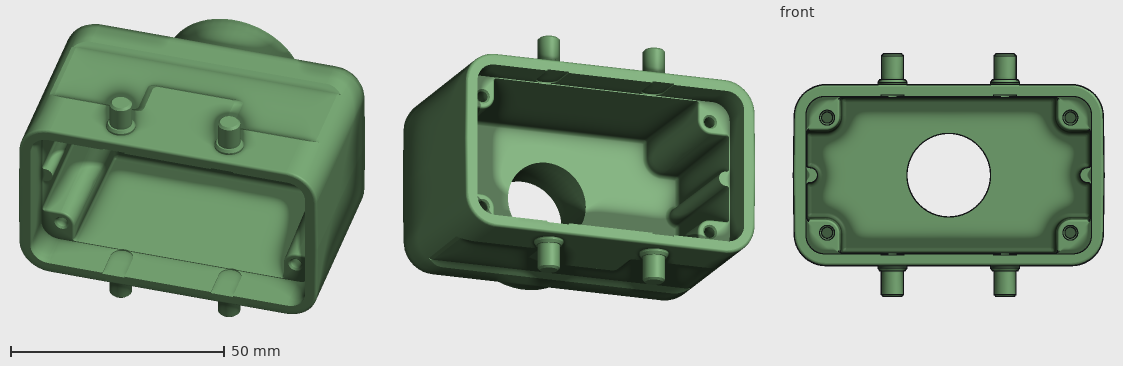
import cadquery as cq
import math

HOOD_LENGTH = 73.0
HOOD_EDGE_LENGTH = 72.4
MOUTH_HEIGHT = 42.55
REAR_HEIGHT = 42.2
HOOD_DEPTH = 45.0
CORNER_RADIUS = 7.5
REAR_RADIUS = 4.6
MOUTH_RADIUS = 0.65

ENTRY_RADIUS = 17.0
ENTRY_END_Y = 58.0
ENTRY_CHAMFER = 0.9
ENTRY_BASE_FILLET = 1.0
JOINT_TOLERANCE = 0.01
BORE_RADIUS = 9.8

CAVITY_LENGTH = 67.0
CAVITY_HEIGHT = 36.95
CAVITY_RADIUS = 4.4
CAVITY_STEP = 0.2
CAVITY_DRAFT = 0.4
BACK_WALL = 3.0
FLOOR_FILLET = 1.0
CAVITY_CORNER_FILLET = 0.6
INSERT_Y = 9.4

BOSS_X = 28.8
BOSS_Z = 13.8
BOSS_RADIUS = 3.3
BOSS_DRAFT = 1.1
BOSS_EDGE_FILLET = 0.5
SCREW_X = 28.55
SCREW_Z = 13.5
SCREW_HOLE_RADIUS = 1.3
SCREW_HOLE_MOUTH_RADIUS = 1.75
SCREW_HOLE_DEPTH = 10.95
RIB_RADIUS = 1.75
RIB_X = 32.55
RIB_DRAFT = 0.3

PIN_X = 13.2
PIN_Y = 6.2
PIN_RADIUS = 2.6
PIN_SPAN = 57.0
PIN_TIP_Z = PIN_SPAN / 2
PIN_CHAMFER = 0.5
COLLAR_RADIUS = 3.4
COLLAR_TOP_RADIUS = 3.0
COLLAR_STRAIGHT = 0.5
COLLAR_HEIGHT = 1.2
PIN_SLOT_RADIUS = 2.7
PIN_SLOT_LENGTH = 9.6
PIN_SLOT_DEPTH = 0.3

RECESS_Z = 20.1
RECESS_FRONT_Y = 14.75
RECESS_REAR_Y = 33.4
RECESS_SLOPE_RUN = 1.7
RECESS_SLOPE_RISE = 1.1
RECESS_CORNER_RADIUS = 2.5
NOTCH_HALF_WIDTH = 11.6
NOTCH_REAR_Y = 24.75
RECESS_FLOOR_HALF_LENGTH = 31.9
RECESS_BEVEL_DROP = 0.2
RECESS_BEVEL_RUN = 1.2

OVERLAP = 0.7
FLOOR_Y = HOOD_DEPTH - BACK_WALL
SIDES = (-1, 1)


def plane_at(y):
    """Plane across the hood at depth y, its normal pointing to +Y and its local y axis to -Z."""
    return cq.Workplane(cq.Plane(origin=(0, y, 0), xDir=(1, 0, 0), normal=(0, 1, 0)))


def both_faces(shape):
    """The shape on the top face together with its copy turned half a turn onto the bottom face."""
    return shape.union(shape.rotate((0, 0, 0), (0, 1, 0), 180))


def make_hood():
    """Outer block with sides sloping away from the parting plane and slightly lower at the rear."""
    half = MOUTH_HEIGHT / 2
    section = [
        (HOOD_LENGTH / 2, 0),
        (HOOD_EDGE_LENGTH / 2, half),
        (-HOOD_EDGE_LENGTH / 2, half),
        (-HOOD_LENGTH / 2, 0),
        (-HOOD_EDGE_LENGTH / 2, -half),
        (HOOD_EDGE_LENGTH / 2, -half),
    ]
    side = [
        (0, half),
        (HOOD_DEPTH, REAR_HEIGHT / 2),
        (HOOD_DEPTH, -REAR_HEIGHT / 2),
        (0, -half),
    ]
    block = plane_at(0).polyline(section).close().extrude(HOOD_DEPTH)
    wedge = cq.Workplane("YZ").polyline(side).close().extrude(HOOD_LENGTH, both=True)
    hood = block.intersect(wedge)
    for x_side in SIDES:
        for z_side in SIDES:
            middle = (x_side * HOOD_EDGE_LENGTH / 2, HOOD_DEPTH / 2, z_side * half)
            long_edge = cq.selectors.NearestToPointSelector(middle)
            hood = hood.edges(long_edge).fillet(CORNER_RADIUS)
    hood = hood.faces(">Y").edges().fillet(REAR_RADIUS)
    return hood.faces("<Y").edges().fillet(MOUTH_RADIUS)


def make_entry():
    """Round cable entry, rooted in the back wall so that it joins the rounded rear edges."""
    entry = plane_at(FLOOR_Y).circle(ENTRY_RADIUS).extrude(ENTRY_END_Y - FLOOR_Y)
    return entry.faces(">Y").chamfer(ENTRY_CHAMFER)


def is_entry_joint(edge):
    """True for the edges where the round entry meets the rear of the hood."""
    if not FLOOR_Y < edge.Center().y < HOOD_DEPTH + OVERLAP:
        return False
    points = [edge.positionAt(t) for t in (0, 0.3, 0.6)]
    return all(abs(math.hypot(p.x, p.z) - ENTRY_RADIUS) < JOINT_TOLERANCE for p in points)


def make_boss(x_side, z_side):
    """Corner boss, rounded toward the middle and widening toward the cavity floor."""
    inner_x = BOSS_X - BOSS_RADIUS
    inner_z = BOSS_Z - BOSS_RADIUS
    reach_x = HOOD_LENGTH / 2
    reach_z = MOUTH_HEIGHT / 2
    bulge = BOSS_RADIUS * math.sqrt(0.5)
    outline = (
        plane_at(INSERT_Y)
        .moveTo(reach_x, inner_z)
        .lineTo(BOSS_X, inner_z)
        .threePointArc((BOSS_X - bulge, BOSS_Z - bulge), (inner_x, BOSS_Z))
        .lineTo(inner_x, reach_z)
        .lineTo(reach_x, reach_z)
        .close()
    )
    boss = outline.extrude(HOOD_DEPTH - INSERT_Y, taper=-BOSS_DRAFT)
    boss = boss.faces("<Y").edges().fillet(BOSS_EDGE_FILLET)
    if x_side < 0:
        boss = boss.mirror("YZ")
    if z_side < 0:
        boss = boss.mirror("XY")
    return boss


def make_cavity():
    """Hollow of the hood, with the corner bosses and end ribs left standing."""
    mouth = (
        plane_at(0)
        .rect(CAVITY_LENGTH, CAVITY_HEIGHT)
        .extrude(INSERT_Y)
        .edges("|Y")
        .fillet(CAVITY_RADIUS)
    )
    inner = (
        plane_at(INSERT_Y)
        .rect(CAVITY_LENGTH - 2 * CAVITY_STEP, CAVITY_HEIGHT - 2 * CAVITY_STEP)
        .extrude(FLOOR_Y - INSERT_Y, taper=CAVITY_DRAFT)
    )
    for x_side in SIDES:
        rib = plane_at(INSERT_Y).center(x_side * RIB_X, 0).circle(RIB_RADIUS)
        inner = inner.cut(rib.extrude(HOOD_DEPTH, taper=-RIB_DRAFT))
        for z_side in SIDES:
            inner = inner.cut(make_boss(x_side, z_side))
    wall_x = CAVITY_LENGTH / 2
    wall_z = CAVITY_HEIGHT / 2
    corners = [(x * wall_x, z * (BOSS_Z - BOSS_RADIUS)) for x in SIDES for z in SIDES]
    corners += [(x * (BOSS_X - BOSS_RADIUS), z * wall_z) for x in SIDES for z in SIDES]
    corners += [(x * wall_x, z * RIB_RADIUS) for x in SIDES for z in SIDES]
    middle_y = (INSERT_Y + FLOOR_Y) / 2
    for x, z in corners:
        nearest = cq.selectors.NearestToPointSelector((x, middle_y, z))
        inner = inner.edges(nearest).fillet(CAVITY_CORNER_FILLET)
    inner = inner.faces(">Y").edges().fillet(FLOOR_FILLET)
    return mouth.union(inner)


def make_screw_holes():
    """Blind holes in the boss fronts, each with a chamfered mouth."""
    centres = [(x * SCREW_X, z * SCREW_Z) for x in SIDES for z in SIDES]
    seat = plane_at(INSERT_Y).pushPoints(centres)
    holes = seat.circle(SCREW_HOLE_RADIUS).extrude(SCREW_HOLE_DEPTH)
    widening = SCREW_HOLE_MOUTH_RADIUS - SCREW_HOLE_RADIUS
    for x, z in centres:
        cone = plane_at(INSERT_Y).center(x, z).circle(SCREW_HOLE_MOUTH_RADIUS)
        holes = holes.union(cone.extrude(widening, taper=45))
    return holes


def make_pins():
    """Locking pins with stepped collars, two on the top face and two on the bottom face."""
    face_z = MOUTH_HEIGHT / 2
    root_z = CAVITY_HEIGHT / 2 + OVERLAP
    profile = [
        (0, root_z),
        (COLLAR_RADIUS, root_z),
        (COLLAR_RADIUS, face_z + COLLAR_STRAIGHT),
        (COLLAR_TOP_RADIUS, face_z + COLLAR_HEIGHT),
        (PIN_RADIUS, face_z + COLLAR_HEIGHT),
        (PIN_RADIUS, PIN_TIP_Z - PIN_CHAMFER),
        (PIN_RADIUS - PIN_CHAMFER, PIN_TIP_Z),
        (0, PIN_TIP_Z),
    ]
    pin = cq.Workplane("XZ").polyline(profile).close().revolve(360, (0, 0, 0), (0, 1, 0))
    pair = cq.Workplane()
    for side in SIDES:
        pair = pair.union(pin.translate((side * PIN_X, PIN_Y, 0)))
    return both_faces(pair)


def make_pin_slots():
    """Shallow round-ended grooves behind the pins, running in from the mouth."""
    slots = (
        cq.Workplane("XY", origin=(0, 0, CAVITY_HEIGHT / 2 - OVERLAP))
        .pushPoints([(side * PIN_X, 0) for side in SIDES])
        .slot2D(2 * PIN_SLOT_LENGTH, 2 * PIN_SLOT_RADIUS, 90)
        .extrude(OVERLAP + PIN_SLOT_DEPTH)
    )
    return both_faces(slots)


def recess_outline(spread):
    """Outline of the notched band, moved outward by spread from its floor outline."""
    front_y = RECESS_FRONT_Y - spread
    rear_y = RECESS_REAR_Y + spread
    notch_x = NOTCH_HALF_WIDTH - spread
    notch_y = NOTCH_REAR_Y - spread
    return [
        (-HOOD_LENGTH, rear_y),
        (-HOOD_LENGTH, front_y),
        (-notch_x, front_y),
        (-notch_x, notch_y),
        (notch_x, notch_y),
        (notch_x, front_y),
        (HOOD_LENGTH, front_y),
        (HOOD_LENGTH, rear_y),
    ]


def make_recess():
    """Open-ended band with sloping walls and a notch, cut into the top and bottom faces."""
    band = (
        cq.Workplane("XY", origin=(0, 0, RECESS_Z))
        .polyline(recess_outline(0))
        .close()
        .workplane(offset=2 * RECESS_SLOPE_RISE)
        .polyline(recess_outline(2 * RECESS_SLOPE_RUN))
        .close()
        .loft(ruled=True)
    )
    tool_middle_z = RECESS_Z + RECESS_SLOPE_RISE
    notch_corner_x = NOTCH_HALF_WIDTH - RECESS_SLOPE_RUN
    for x in (-notch_corner_x, notch_corner_x):
        for y in (RECESS_FRONT_Y - RECESS_SLOPE_RUN, NOTCH_REAR_Y - RECESS_SLOPE_RUN):
            corner = cq.selectors.NearestToPointSelector((x, y, tool_middle_z))
            band = band.edges(corner).fillet(RECESS_CORNER_RADIUS)
    bevel_start_x = RECESS_FLOOR_HALF_LENGTH
    bevel_end_x = bevel_start_x + 2 * RECESS_BEVEL_RUN
    bevel_profile = [
        (bevel_start_x, RECESS_Z),
        (bevel_end_x, RECESS_Z - 2 * RECESS_BEVEL_DROP),
        (bevel_end_x, RECESS_Z),
    ]
    bevel = cq.Workplane("XZ", origin=(0, RECESS_REAR_Y, 0)).polyline(bevel_profile).close()
    bevel = bevel.extrude(RECESS_REAR_Y - RECESS_FRONT_Y)
    return both_faces(band.union(bevel).union(bevel.mirror("YZ")))


body = make_hood().union(make_entry())
entry_joint = [edge for edge in body.edges().vals() if is_entry_joint(edge)]
body = body.newObject(entry_joint).fillet(ENTRY_BASE_FILLET)
body = body.cut(make_recess())
body = body.union(make_pins())
body = body.cut(make_cavity())
body = body.cut(make_pin_slots())
body = body.cut(make_screw_holes())
result = body.cut(plane_at(0).circle(BORE_RADIUS).extrude(ENTRY_END_Y))